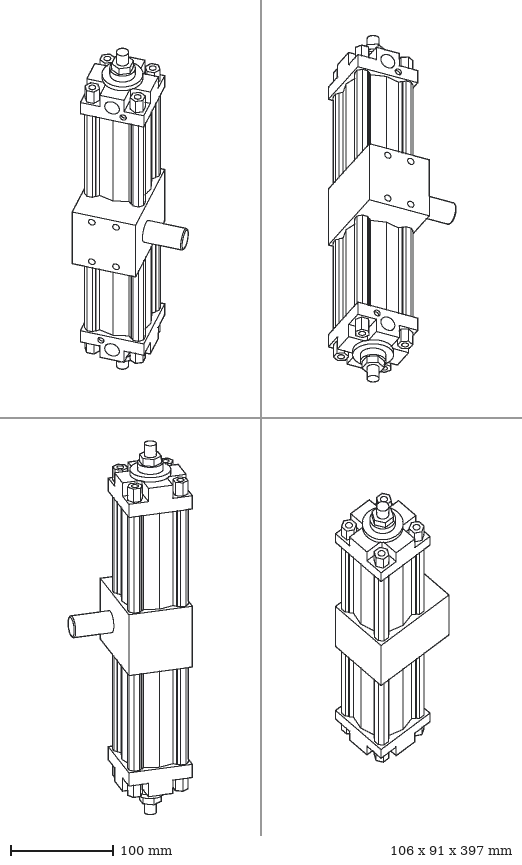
import cadquery as cq
import math

total_length = 397.0
body_width = 65.5
total_depth = 91.0
shaft_reach = 40.5
half_width = body_width / 2
front_face = half_width - total_depth

block_top = half_width
cap_bottom = 137.5
pocket_floor = 151.5
cap_top = 166.0
flange_top = 170.7
hub_top = 178.3
lock_nut_top = 185.8
rod_top = total_length / 2

flange_diameter = 40.0
hub_diameter = 25.0
lock_nut_flats = 19.0
rod_diameter = 12.0

tie_offset = 23.5
tie_nut_corners = 15.0
tie_hole_diameter = 6.7
cone_depth = 3.0
flat_turn = 30
cross_width = 25.0

ridge_reach = 29.5
groove_half_width = 15.0
groove_reach = 25.5
step_reach = 28.0
corner_reach = 30.5
corner_flat_start = 21.0
corner_flat_end = 26.5

shaft_diameter = 22.0
shaft_y = -26.0
shaft_chamfer = 1.0
mount_hole_diameter = 6.7
mount_hole_depth = 12.0
mount_spacing_x = 25.0
mount_spacing_z = 50.0
port_diameter = 15.0
port_height = 153.2
port_depth = 20.0
screw_hole_diameter = 6.5
screw_hole_x = 11.5
screw_hole_height = 144.0
screw_hole_depth = 3.0

tie_axes = [(sx * tie_offset, sy * tie_offset) for sx in (-1, 1) for sy in (-1, 1)]


def cylinder(diameter, bottom, top):
    return cq.Workplane("XY").workplane(offset=bottom).circle(diameter / 2).extrude(top - bottom)


def block_layer(size_x, size_y, bottom, top):
    return cq.Workplane("XY").workplane(offset=bottom).rect(size_x, size_y).extrude(top - bottom)


def hexagon(corners_width, turn, bottom, top):
    """Hexagonal prism on the Z axis, with corners along X before the turn."""
    prism = cq.Workplane("XY").workplane(offset=bottom).polygon(6, corners_width).extrude(top - bottom)
    return prism.rotate((0, 0, 0), (0, 0, 1), turn)


def front_hole(diameter, x, z, face_y, depth):
    """Round cutter that enters a front face and runs along +Y."""
    return cq.Workplane("XZ", origin=(x, face_y, z)).circle(diameter / 2).extrude(-depth)


def barrel():
    """Extruded barrel: four ridged sides joined by stepped corners."""
    step_start = groove_half_width + step_reach - groove_reach
    step_end = corner_flat_start - (corner_reach - step_reach)
    half_side = [
        (groove_half_width, groove_reach),
        (step_start, step_reach),
        (step_end, step_reach),
        (corner_flat_start, corner_reach),
        (corner_flat_end, corner_reach),
    ]
    side = [(-u, v) for u, v in reversed(half_side)] + [(0, ridge_reach)] + half_side
    outline = []
    for quarter in range(4):
        angle = -quarter * math.pi / 2
        c = math.cos(angle)
        s = math.sin(angle)
        outline += [(u * c - v * s, u * s + v * c) for u, v in side]
    profile = cq.Workplane("XY").workplane(offset=-cap_bottom).polyline(outline).close()
    return profile.extrude(2 * cap_bottom)


def tie_nut(x, y):
    """Hexagonal nut standing in a corner pocket, with a conical recess in its end."""
    turn = 0 if x * y > 0 else flat_turn
    nut = hexagon(tie_nut_corners, turn, pocket_floor, cap_top).translate((x, y, 0))
    tip = cq.Vector(x, y, cap_top - cone_depth)
    cone = cq.Solid.makeCone(0, tie_hole_diameter / 2, cone_depth, pnt=tip)
    return nut.cut(cq.Workplane(cone))


def upper_end():
    """Upper end cap with flange, hub, lock nut and rod end."""
    end = block_layer(body_width, body_width, cap_bottom, pocket_floor)
    end = end.union(block_layer(cross_width, body_width, pocket_floor, cap_top))
    end = end.union(block_layer(body_width, cross_width, pocket_floor, cap_top))
    end = end.union(cylinder(flange_diameter, cap_top, flange_top))
    end = end.union(cylinder(hub_diameter, flange_top, hub_top))
    lock_nut_corners = lock_nut_flats / math.cos(math.pi / 6)
    end = end.union(hexagon(lock_nut_corners, flat_turn, hub_top, lock_nut_top))
    end = end.union(cylinder(rod_diameter, lock_nut_top, rod_top))
    end = end.cut(front_hole(port_diameter, 0, port_height, -half_width, port_depth))
    screw_hole = front_hole(
        screw_hole_diameter, screw_hole_x, screw_hole_height, -half_width, screw_hole_depth
    )
    return end.cut(screw_hole)


def gear_block():
    """Block around the barrel, with mounting holes and the output shaft."""
    block = cq.Workplane("XY").box(body_width, total_depth, 2 * block_top)
    block = block.translate((0, half_width - total_depth / 2, 0))
    for x in (-mount_spacing_x / 2, mount_spacing_x / 2):
        for z in (-mount_spacing_z / 2, mount_spacing_z / 2):
            block = block.cut(front_hole(mount_hole_diameter, x, z, front_face, mount_hole_depth))
    shaft = cq.Workplane("YZ", origin=(half_width, shaft_y, 0)).circle(shaft_diameter / 2)
    shaft = shaft.extrude(shaft_reach).faces(">X").chamfer(shaft_chamfer)
    return block.union(shaft)


upper = upper_end()
lower = upper.rotate((0, 0, 0), (0, 1, 0), 180)
result = gear_block().union(barrel()).union(upper).union(lower)
for x, y in tie_axes:
    nut = tie_nut(x, y)
    result = result.union(nut).union(nut.mirror("XY"))